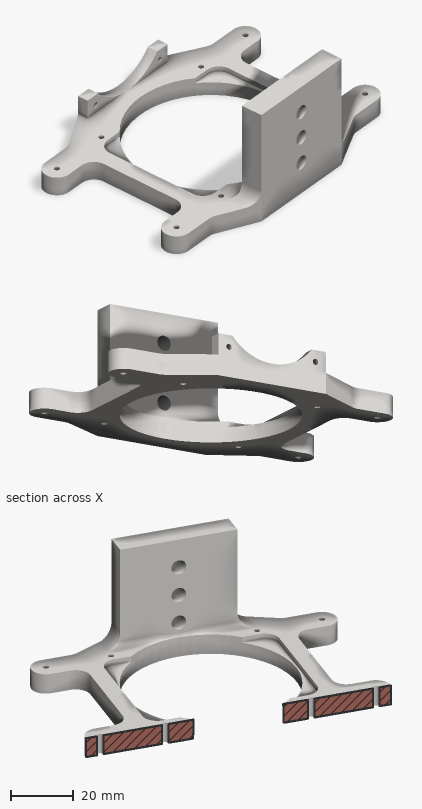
import cadquery as cq

plate_thickness = 7.0
left_x = -38.6
right_x = 37.5
length_y = 104.0
waist_half_y = 35.6
wall_width = 39.9

leg_radius = 5.0
leg_x = 24.9
leg_hole_y = length_y / 2 - leg_radius
leg_outer_x = leg_x + leg_radius
leg_inner_x = leg_x - leg_radius
leg_root_radius = 5.0

bore_diameter = 58.3
pocket_size_x = 44.5
pocket_size_y = 59.5
pocket_corner_radius = 5.0
pocket_depth = 2.0
screw_diameter = 2.0
inner_hole_y = 24.9

saddle_thickness = 4.0
saddle_top_z = 14.0
saddle_radius = 18.9
saddle_hole_y = 16.0
saddle_hole_z = 10.1

tall_thickness = 8.0
tall_top_z = 42.0
tall_hole_diameter = 5.0
tall_hole_zs = (12.1, 22.0, 32.0)
end_fillet_radius = 5.0
face_fillet_radius = 2.0

margin = 0.5


def make_outline():
    """Extruded plate outline with four round-ended legs, filleted on both sides of each root."""
    half_wall = wall_width / 2
    half_length = length_y / 2
    profile = (
        cq.Workplane("XY")
        .moveTo(left_x, -half_wall)
        .lineTo(-leg_outer_x, -waist_half_y)
        .lineTo(-leg_outer_x, -leg_hole_y)
        .threePointArc((-leg_x, -half_length), (-leg_inner_x, -leg_hole_y))
        .lineTo(-leg_inner_x, -waist_half_y)
        .lineTo(leg_inner_x, -waist_half_y)
        .lineTo(leg_inner_x, -leg_hole_y)
        .threePointArc((leg_x, -half_length), (leg_outer_x, -leg_hole_y))
        .lineTo(leg_outer_x, -waist_half_y)
        .lineTo(right_x, -half_wall)
        .lineTo(right_x, half_wall)
        .lineTo(leg_outer_x, waist_half_y)
        .lineTo(leg_outer_x, leg_hole_y)
        .threePointArc((leg_x, half_length), (leg_inner_x, leg_hole_y))
        .lineTo(leg_inner_x, waist_half_y)
        .lineTo(-leg_inner_x, waist_half_y)
        .lineTo(-leg_inner_x, leg_hole_y)
        .threePointArc((-leg_x, half_length), (-leg_outer_x, leg_hole_y))
        .lineTo(-leg_outer_x, waist_half_y)
        .lineTo(left_x, half_wall)
        .close()
    )
    leg_roots = cq.selectors.BoxSelector(
        (-leg_outer_x - margin, -waist_half_y - margin, 0),
        (leg_outer_x + margin, waist_half_y + margin, plate_thickness),
    )
    return profile.extrude(plate_thickness).edges("|Z").edges(leg_roots).fillet(leg_root_radius)


def cut_plate(plate):
    """Cut the pocket, the bore and the eight screw holes."""
    pocket = (
        cq.Workplane("XY", origin=(0, 0, plate_thickness - pocket_depth))
        .rect(pocket_size_x, pocket_size_y)
        .extrude(pocket_depth)
        .edges("|Z")
        .fillet(pocket_corner_radius)
    )
    bore = cq.Workplane("XY").circle(bore_diameter / 2).extrude(plate_thickness)
    hole_points = [
        (x, y)
        for x in (-leg_x, leg_x)
        for y in (-leg_hole_y, -inner_hole_y, inner_hole_y, leg_hole_y)
    ]
    holes = (
        cq.Workplane("XY")
        .pushPoints(hole_points)
        .circle(screw_diameter / 2)
        .extrude(plate_thickness)
    )
    return plate.cut(pocket).cut(bore).cut(holes)


def make_saddle_wall():
    """Low wall with a round dip reaching the plate top, and two screw holes."""
    wall = (
        cq.Workplane("YZ", origin=(left_x, 0, 0))
        .center(0, saddle_top_z / 2)
        .rect(wall_width, saddle_top_z)
        .extrude(saddle_thickness)
    )
    cutters = (
        cq.Workplane("YZ", origin=(left_x, 0, 0))
        .pushPoints([(0, plate_thickness + saddle_radius)])
        .circle(saddle_radius)
        .pushPoints([(-saddle_hole_y, saddle_hole_z), (saddle_hole_y, saddle_hole_z)])
        .circle(screw_diameter / 2)
        .extrude(saddle_thickness)
    )
    return wall.cut(cutters)


def make_tall_wall():
    """Upright wall at the right edge with a column of three through holes."""
    wall = (
        cq.Workplane("YZ", origin=(right_x - tall_thickness, 0, 0))
        .center(0, tall_top_z / 2)
        .rect(wall_width, tall_top_z)
        .extrude(tall_thickness)
    )
    holes = (
        cq.Workplane("YZ", origin=(right_x - tall_thickness, 0, 0))
        .pushPoints([(0, z) for z in tall_hole_zs])
        .circle(tall_hole_diameter / 2)
        .extrude(tall_thickness)
    )
    return wall.cut(holes)


def fillet_tall_wall(body):
    """Blend the foot of the tall wall into the plate, first along its ends, then along its face."""
    face_x = right_x - tall_thickness
    reach = wall_width / 2 + end_fillet_radius + margin
    foot = cq.selectors.BoxSelector(
        (face_x - margin, -reach, plate_thickness - margin),
        (right_x + margin, reach, plate_thickness + margin),
    )
    body = body.edges(foot).edges("|X").fillet(end_fillet_radius)
    return body.edges(foot).edges("|Y").edges("<X").fillet(face_fillet_radius)


plate = cut_plate(make_outline())
result = plate.union(make_saddle_wall()).union(make_tall_wall())
result = fillet_tall_wall(result)